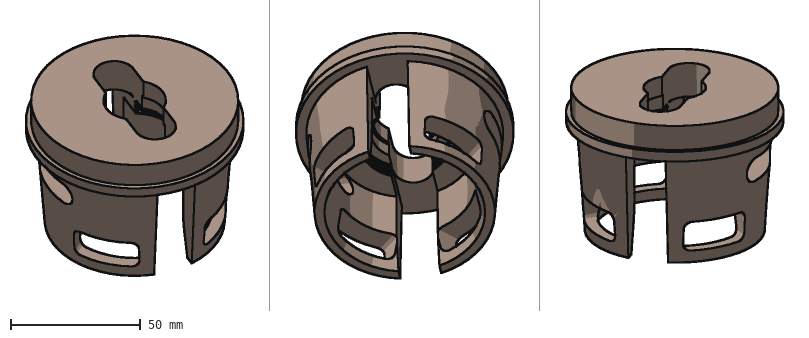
import cadquery as cq

total_height = 59.0
cap_height = 10.0
flange_thickness = 4.0
skirt_height = total_height - cap_height - flange_thickness

cap_diameter = 80.0
flange_diameter = 84.0
skirt_top_diameter = 75.9
skirt_bottom_diameter = 69.6

bore_diameter = 54.9
flare_diameter = 62.0
flare_height = 15.0

key_length = 52.0
key_width = 16.05
key_round_diameter = 24.0
relief_diameter = 25.9
relief_top = total_height - 8.0

collar_height = 6.3
collar_bottom = skirt_height - collar_height
collar_bore_diameter = 34.4
groove_outer_diameter = 36.8
groove_count = 3
groove_pitch = 2.0
groove_width = 1.1
first_groove_height = collar_bottom + 1.0

side_slot_length = 30.0
side_slot_height = 10.0
side_slot_centre = 33.0

window_width = 26.55
window_bottom = 4.95
window_height = 12.3
window_corner_radius = 3.0
first_window_angle = 45
window_spacing = 90


def cylinder(diameter, bottom, top):
    """Upright cylinder on the part axis."""
    return cq.Workplane("XY").workplane(offset=bottom).circle(diameter / 2).extrude(top - bottom)


def cone(bottom_diameter, top_diameter, height):
    """Upright cone frustum on the part axis, standing on Z = 0."""
    profile = [(0, 0), (bottom_diameter / 2, 0), (top_diameter / 2, height), (0, height)]
    return cq.Workplane("XZ").polyline(profile).close().revolve(360, (0, 0, 0), (0, 1, 0))


def outer_body():
    """Tapered skirt, flange and cap, still solid inside."""
    flange_top = skirt_height + flange_thickness
    skirt = cone(skirt_bottom_diameter, skirt_top_diameter, skirt_height)
    flange = cylinder(flange_diameter, skirt_height, flange_top)
    cap = cylinder(cap_diameter, flange_top, total_height)
    return skirt.union(flange).union(cap)


def skirt_cavity():
    """Straight bore up to the collar, with the flared mouth."""
    bore = cylinder(bore_diameter, 0, collar_bottom)
    return bore.union(cone(flare_diameter, bore_diameter, flare_height))


def collar_bore():
    """Round bore of the collar with evenly stacked V-grooves."""
    cutter = cylinder(collar_bore_diameter, collar_bottom, skirt_height)
    inner = collar_bore_diameter / 2
    outer = groove_outer_diameter / 2
    for index in range(groove_count):
        height = first_groove_height + index * groove_pitch
        profile = [
            (0, height - groove_width / 2),
            (inner, height - groove_width / 2),
            (outer, height),
            (inner, height + groove_width / 2),
            (0, height + groove_width / 2),
        ]
        groove = cq.Workplane("XZ").polyline(profile).close().revolve(360, (0, 0, 0), (0, 1, 0))
        cutter = cutter.union(groove)
    return cutter


def keyhole():
    """Long slot and central round through the top plate, with the relief below."""
    slot = (
        cq.Workplane("XY")
        .workplane(offset=skirt_height)
        .slot2D(key_length, key_width)
        .extrude(total_height - skirt_height)
    )
    centre = cylinder(key_round_diameter, skirt_height, total_height)
    relief = cylinder(relief_diameter, skirt_height, relief_top)
    return slot.union(centre).union(relief)


def skirt_split():
    """Open-ended slot along X that splits the skirt up to the flange."""
    return cq.Workplane("XY").box(flange_diameter, key_width, skirt_height, centered=(True, True, False))


def side_slots():
    """Round-ended slot running through the skirt along Y."""
    return (
        cq.Workplane("XZ")
        .center(0, side_slot_centre)
        .slot2D(side_slot_length, side_slot_height)
        .extrude(flange_diameter / 2, both=True)
    )


def window(angle):
    """Rounded window cut outwards from the axis at the given angle."""
    return (
        cq.Workplane("XY")
        .box(flange_diameter / 2, window_width, window_height, centered=(False, True, False))
        .edges("|X")
        .fillet(window_corner_radius)
        .translate((0, 0, window_bottom))
        .rotate((0, 0, 0), (0, 0, 1), angle)
    )


result = outer_body()
for cutter in (skirt_cavity(), collar_bore(), keyhole(), skirt_split(), side_slots()):
    result = result.cut(cutter)
for angle in range(first_window_angle, 360, window_spacing):
    result = result.cut(window(angle))